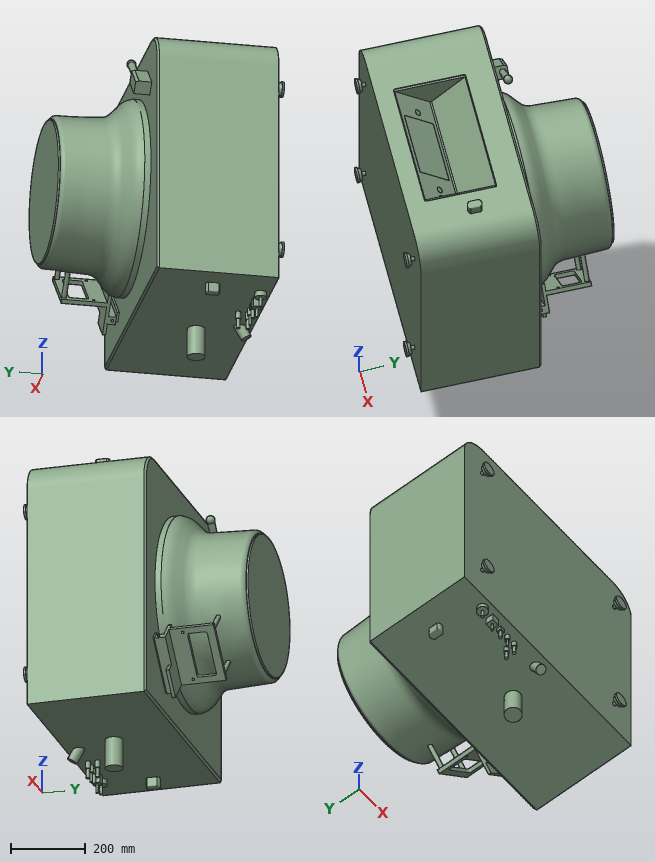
import cadquery as cq
import math


cabinet_width = 702.0
cabinet_height = 698.0
cabinet_depth = 332.0
corner_radius = 80.0
back_chamfer = 6.0

foot_x = 278.0
foot_heights = (114.5, 581.0)
foot_length = 26.0
foot_rod_radius = 6.0
foot_rod_length = 11.0
foot_neck_radius = 15.0
foot_dome_radius = 19.0
foot_disc_radius = 21.0
foot_disc_thickness = 6.0

rim_half_width = 179.0
rim_front = 52.0
rim_back = 251.0
rim_depth = 3.0
rim_corner_radius = 6.0
trough_half_width = 173.0
trough_front = 55.0
trough_back = 248.0
trough_floor_front = 151.5
trough_floor_back = 156.0
trough_depth = 97.0

screen_left = -101.0
screen_right = 80.5
screen_front = 64.0
screen_back = 143.5
screen_corner_radius = 5.0
button_x = (-124.0, 123.0, 150.0)
button_y = 107.0
button_radius = 9.0
panel_sink = 1.0

switch_width = 24.0
switch_length = 39.5
switch_end_bulge = 6.0
switch_height = 26.5
switch_edge_fillet = 2.5
upper_switch_place = (234.0, 176.5)
lower_switch_place = (-271.0, 164.0)

drain_pipe_radius = 24.0
drain_pipe_length = 81.0
drain_pipe_place = (32.0, 147.0)
spout_radius = 14.5
spout_length = 37.0
spout_tilt = 30
spout_place = (-7.0, 36.0)
round_plugs = (
    (-242.0, 27.0, 16.0, 14.5, 4.0, 40.0),
    (-130.5, 33.0, 7.0, 20.0, 3.0, 47.0),
    (-101.5, 33.0, 7.0, 20.0, 5.0, 47.0),
    (-101.5, 60.0, 7.0, 20.0, 5.0, 47.0),
)
square_plugs = (
    (-199.0, 29.0, 23.0, 26.5, 3.0, 52.0),
    (-160.0, 32.0, 14.5, 14.5, 5.0, 40.0),
)

lid_z = cabinet_height / 2
lid_height = 238.0
lid_cap_radius = 193.5
lid_shoulder_top = (197.0, 233.0)
lid_shoulder_middle = (203.0, 228.0)
lid_shoulder_end = (206.0, 222.0)
lid_neck = (211.0, 102.0)
lid_flare_middle = (217.0, 80.0)
lid_flare_end = (230.0, 64.5)
lid_rim_start = (242.5, 52.0)
lid_rim_middle = (258.0, 37.0)
lid_rim_radius = 267.0
lid_rim_height = 17.0

diagonal_angle = 45

hinge_half_width = 82.0
hinge_plate_inner = 271.0
hinge_plate_thickness = 12.0
hinge_plate_top = 160.0
window_half_width = 64.5
window_bottom = 84.0
window_top = 139.0
window_corner_radius = 7.0
screw_hole_radius = 3.0
screw_hole_offset = 69.0
screw_hole_height = 72.0
post_radius = 6.5
post_inner = 189.0
post_offset = 66.0
post_height = 152.0
flange_inner = 250.0
flange_bottom = 27.0
flange_top = 36.0
knuckle_inner = 309.5
knuckle_outer = 331.0
knuckle_bottom = 6.0
hinge_pin_height = 15.0
tab_outer = 363.0
hinge_pad_inner = 295.0
hinge_pad_outer = 323.0

latch_inner = 317.0
latch_outer = 354.0
latch_half_width = 39.0
latch_height = 43.5
latch_bevel_height = 9.0
latch_bevel_run = 3.0
lever_radial = 336.0
lever_height = 29.0
lever_root_radius = 8.0
lever_tip_radius = 10.5
lever_ball_radius = 12.0
lever_reach = 125.0


def box_between(x_range, y_range, z_range):
    """Box given by its two limits along each axis."""
    (x0, x1), (y0, y1), (z0, z1) = x_range, y_range, z_range
    return cq.Workplane("XY").box(x1 - x0, y1 - y0, z1 - z0, centered=False).translate((x0, y0, z0))


def cylinder(radius, length, start, direction):
    return cq.Workplane(obj=cq.Solid.makeCylinder(radius, length, cq.Vector(*start), cq.Vector(*direction)))


def on_lid_diagonal(shape):
    turned = shape.rotate((0, 0, 0), (0, 1, 0), diagonal_angle)
    return turned.translate((0, cabinet_depth, lid_z))


def make_cabinet_shell():
    shell = box_between(
        (-cabinet_width / 2, cabinet_width / 2), (0, cabinet_depth), (0, cabinet_height)
    )
    shell = shell.faces(">Z").edges("|Y").fillet(corner_radius)
    return shell.faces(">Y").edges().chamfer(back_chamfer)


def make_control_recess():
    rim_level = cabinet_height - rim_depth
    rim = box_between(
        (-rim_half_width, rim_half_width), (rim_front, rim_back), (rim_level, cabinet_height)
    ).edges("|Z").fillet(rim_corner_radius)
    floor_level = cabinet_height - trough_depth
    trough = (
        cq.Workplane("YZ")
        .moveTo(trough_front, rim_level)
        .lineTo(trough_floor_front, floor_level)
        .lineTo(trough_floor_back, floor_level)
        .lineTo(trough_back, rim_level)
        .close()
        .extrude(trough_half_width, both=True)
    )
    return rim.union(trough)


def make_panel_sinks():
    """Screen and button outlines, cut square to the front slope of the trough."""
    slope_run = trough_floor_front - trough_front
    slope_rise = trough_depth - rim_depth
    slope_stretch = math.hypot(slope_run, slope_rise) / slope_run
    slope = cq.Plane(
        origin=(0, trough_front, cabinet_height - rim_depth),
        xDir=(1, 0, 0),
        normal=(0, slope_rise, slope_run),
    )

    def along_slope(y):
        return (y - trough_front) * slope_stretch

    screen_middle = ((screen_left + screen_right) / 2, along_slope((screen_front + screen_back) / 2))
    screen_length = (screen_back - screen_front) * slope_stretch
    screen = (
        cq.Workplane(slope)
        .center(*screen_middle)
        .sketch()
        .rect(screen_right - screen_left, screen_length)
        .vertices("<X")
        .fillet(screen_corner_radius)
        .finalize()
        .extrude(-panel_sink)
    )
    buttons = (
        cq.Workplane(slope)
        .pushPoints([(x, along_slope(button_y)) for x in button_x])
        .circle(button_radius)
        .extrude(-panel_sink)
    )
    return screen.union(buttons)


def make_switch(place, base_z, height):
    """Rocker switch with bulged ends; a negative height makes it hang down."""
    half_width = switch_width / 2
    half_length = switch_length / 2
    corner_y = half_length - switch_end_bulge
    switch = (
        cq.Workplane("XY")
        .moveTo(-half_width, -corner_y)
        .threePointArc((0, -half_length), (half_width, -corner_y))
        .lineTo(half_width, corner_y)
        .threePointArc((0, half_length), (-half_width, corner_y))
        .close()
        .extrude(height)
    )
    switch = switch.faces(">Z" if height > 0 else "<Z").edges().fillet(switch_edge_fillet)
    return switch.translate((*place, base_z))


def make_foot(x, z):
    disc_start = foot_length - foot_disc_thickness
    return (
        cq.Workplane("XY")
        .lineTo(foot_rod_radius, 0)
        .lineTo(foot_rod_radius, -foot_rod_length)
        .lineTo(foot_neck_radius, -foot_rod_length)
        .lineTo(foot_dome_radius, -disc_start)
        .lineTo(foot_disc_radius, -disc_start)
        .lineTo(foot_disc_radius, -foot_length)
        .lineTo(0, -foot_length)
        .close()
        .revolve(360, (0, 0, 0), (0, 1, 0))
        .translate((x, 0, z))
    )


def make_round_plug(x, y, collar_radius, collar_length, pin_radius, length):
    collar = cylinder(collar_radius, collar_length, (x, y, 0), (0, 0, -1))
    return collar.union(cylinder(pin_radius, length, (x, y, 0), (0, 0, -1)))


def make_square_plug(x, y, collar_side, collar_length, pin_radius, length):
    collar = cq.Workplane("XY").center(x, y).rect(collar_side, collar_side).extrude(-collar_length)
    return collar.union(cylinder(pin_radius, length, (x, y, 0), (0, 0, -1)))


def make_spout():
    """Pipe stub leaning towards the base plate; its root is sunk into the cabinet."""
    tilt = math.radians(spout_tilt)
    direction = cq.Vector(0, -math.sin(tilt), -math.cos(tilt))
    root = cq.Vector(*spout_place, 0) - direction * spout_radius
    return cylinder(spout_radius, spout_length + spout_radius, root.toTuple(), direction.toTuple())


def make_latch():
    block = box_between(
        (-latch_outer, -latch_inner), (0, latch_height), (-latch_half_width, latch_half_width)
    )
    bevel = (
        cq.Workplane("XY")
        .moveTo(-latch_outer, latch_height)
        .lineTo(-latch_outer, latch_height - latch_bevel_height)
        .lineTo(-latch_outer + latch_bevel_run, latch_height)
        .close()
        .extrude(latch_half_width, both=True)
    )
    lever = cq.Solid.makeCone(
        lever_root_radius,
        lever_tip_radius,
        lever_reach,
        cq.Vector(-lever_radial, lever_height, 0),
        cq.Vector(0, 0, 1),
    )
    ball = cq.Workplane("XY").sphere(lever_ball_radius)
    ball = ball.translate((-lever_radial, lever_height, lever_reach))
    return on_lid_diagonal(block.cut(bevel).union(cq.Workplane(obj=lever)).union(ball))


def make_hinge_pad():
    pad = box_between(
        (hinge_pad_inner, hinge_pad_outer), (0, knuckle_bottom), (-hinge_half_width, hinge_half_width)
    )
    return on_lid_diagonal(pad)


def make_housing():
    housing = make_cabinet_shell().cut(make_control_recess()).cut(make_panel_sinks())
    housing = housing.union(make_switch(upper_switch_place, cabinet_height, switch_height))
    housing = housing.union(make_switch(lower_switch_place, 0, -switch_height))
    for x in (-foot_x, foot_x):
        for z in foot_heights:
            housing = housing.union(make_foot(x, z))
    drain_start = (*drain_pipe_place, 0)
    housing = housing.union(cylinder(drain_pipe_radius, drain_pipe_length, drain_start, (0, 0, -1)))
    housing = housing.union(make_spout())
    for plug in round_plugs:
        housing = housing.union(make_round_plug(*plug))
    for plug in square_plugs:
        housing = housing.union(make_square_plug(*plug))
    return housing.union(make_latch()).union(make_hinge_pad())


def make_dome():
    dome = (
        cq.Workplane("XY")
        .lineTo(lid_rim_radius, 0)
        .lineTo(lid_rim_radius, lid_rim_height)
        .threePointArc(lid_rim_middle, lid_rim_start)
        .lineTo(*lid_flare_end)
        .threePointArc(lid_flare_middle, lid_neck)
        .lineTo(*lid_shoulder_end)
        .threePointArc(lid_shoulder_middle, lid_shoulder_top)
        .lineTo(lid_cap_radius, lid_shoulder_top[1])
        .lineTo(lid_cap_radius, lid_height)
        .lineTo(0, lid_height)
        .close()
        .revolve(360, (0, 0, 0), (0, 1, 0))
    )
    return dome.rotate((0, 0, 0), (0, 1, 0), 180)


def make_hinge():
    across = (-hinge_half_width, hinge_half_width)
    plate_outer = hinge_plate_inner + hinge_plate_thickness
    plate_span = (hinge_plate_inner, plate_outer)
    plate = box_between(plate_span, (flange_bottom, hinge_plate_top), across)
    window = box_between(
        plate_span, (window_bottom, window_top), (-window_half_width, window_half_width)
    ).edges("|X").fillet(window_corner_radius)
    plate = plate.cut(window)
    for z in (-screw_hole_offset, screw_hole_offset):
        start = (hinge_plate_inner, screw_hole_height, z)
        plate = plate.cut(cylinder(screw_hole_radius, hinge_plate_thickness, start, (1, 0, 0)))

    for z in (-post_offset, post_offset):
        start = (post_inner, post_height, z)
        plate = plate.union(cylinder(post_radius, hinge_plate_inner - post_inner, start, (1, 0, 0)))

    flange = box_between((flange_inner, knuckle_outer), (flange_bottom, flange_top), across)
    tab = box_between((knuckle_inner, tab_outer), (flange_bottom, flange_top), (-hinge_half_width, 0))
    knuckle = box_between((knuckle_inner, knuckle_outer), (knuckle_bottom, flange_top), across)
    knuckle_middle = (knuckle_inner + knuckle_outer) / 2
    pin_start = (knuckle_middle, hinge_pin_height, -hinge_half_width)
    pin_hole = cylinder(screw_hole_radius, 2 * hinge_half_width, pin_start, (0, 0, 1))
    return plate.union(flange).union(tab).union(knuckle).cut(pin_hole)


def make_lid():
    return on_lid_diagonal(make_dome().union(make_hinge()))


housing = make_housing()
lid = make_lid()
result = cq.Compound.makeCompound([housing.val(), lid.val()])